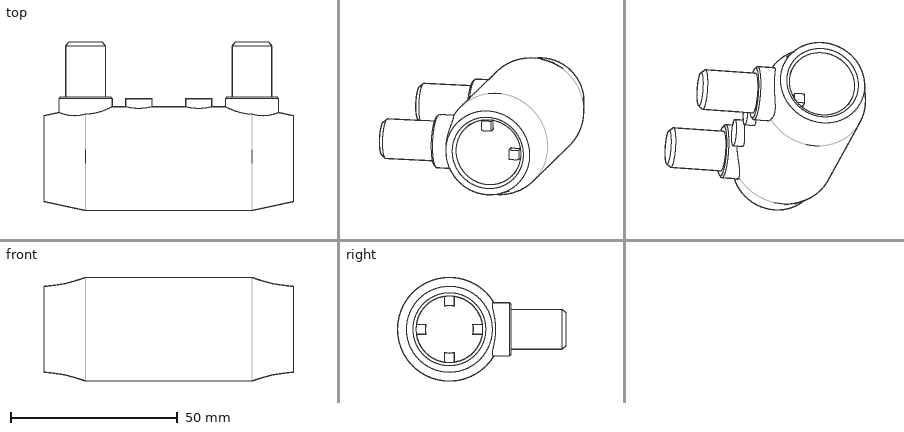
import cadquery as cq

length = 75.0
outer_radius = 15.6
end_radius = 12.9
taper_length = 12.5
taper_hollow = 0.45
bore_radius = 10.0
bore_chamfer = 1.0

stop_width = 3.0
stop_length = 3.0
stop_inner_radius = 7.1
stop_count = 4

stud_offset = 25.0
stud_radius = 6.0
stud_tip = 35.0
stud_chamfer_length = 1.2
stud_chamfer_depth = 1.0
collar_radius = 8.0
collar_top = 18.5
collar_chamfer = 0.5

boss_offset = 9.0
boss_radius = 4.0
boss_top = 18.0

half_length = length / 2
shoulder = half_length - taper_length


def tapered_end():
    """Taper at the +X end: straight along its +/-Y sides, slightly hollow along its +/-Z sides."""
    mid_radius = (outer_radius + end_radius) / 2
    return (
        cq.Workplane("YZ", origin=(shoulder, 0, 0))
        .circle(outer_radius)
        .workplane(offset=taper_length / 2)
        .ellipse(mid_radius, mid_radius - taper_hollow)
        .workplane(offset=taper_length / 2)
        .circle(end_radius)
        .loft(combine=True)
    )


def sleeve_body():
    """Solid sleeve: a cylinder with a taper at each end."""
    barrel = cq.Workplane("YZ", origin=(-shoulder, 0, 0)).circle(outer_radius).extrude(2 * shoulder)
    taper = tapered_end()
    return barrel.union(taper).union(taper.mirror("YZ"))


def bore():
    """Through bore, widened by a chamfer at both mouths."""
    mouth_radius = bore_radius + bore_chamfer
    chamfer_start = half_length - bore_chamfer
    return (
        cq.Workplane("XY")
        .moveTo(-half_length, 0)
        .lineTo(-half_length, mouth_radius)
        .lineTo(-chamfer_start, bore_radius)
        .lineTo(chamfer_start, bore_radius)
        .lineTo(half_length, mouth_radius)
        .lineTo(half_length, 0)
        .close()
        .revolve(360, (0, 0, 0), (1, 0, 0))
    )


def stud():
    """Chamfered stud and collar, from the sleeve axis outwards along +Y."""
    return (
        cq.Workplane("XY")
        .lineTo(collar_radius, 0)
        .lineTo(collar_radius, collar_top - collar_chamfer)
        .lineTo(collar_radius - collar_chamfer, collar_top)
        .lineTo(stud_radius, collar_top)
        .lineTo(stud_radius, stud_tip - stud_chamfer_length)
        .lineTo(stud_radius - stud_chamfer_depth, stud_tip)
        .lineTo(0, stud_tip)
        .close()
        .revolve(360, (0, 0, 0), (0, 1, 0))
    )


def boss():
    """Plain round boss, from the sleeve axis outwards along +Y."""
    return cq.Workplane("XZ").circle(boss_radius).extrude(-boss_top)


def bore_stop(angle):
    """Block from the axis into the bore wall, turned about X from the +Y direction."""
    root_radius = (bore_radius + end_radius) / 2
    return (
        cq.Workplane("XY")
        .box(stop_length, root_radius, stop_width)
        .translate((0, root_radius / 2, 0))
        .rotate((0, 0, 0), (1, 0, 0), angle)
    )


def stop_opening():
    """Round opening left clear between the inner ends of the stops."""
    return cq.Workplane("YZ").circle(stop_inner_radius).extrude(half_length, both=True)


result = sleeve_body()
for side in (-1, 1):
    result = result.union(stud().translate((side * stud_offset, 0, 0)))
    result = result.union(boss().translate((side * boss_offset, 0, 0)))
result = result.cut(bore())
for index in range(stop_count):
    result = result.union(bore_stop(index * 360 / stop_count))
result = result.cut(stop_opening())